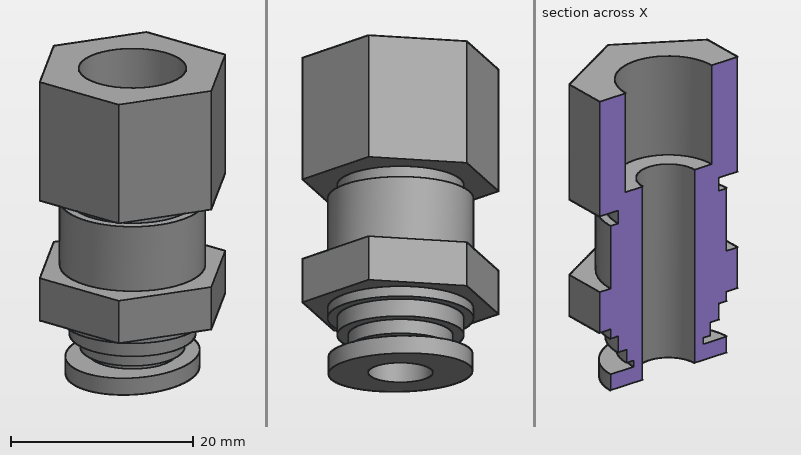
import cadquery as cq

across_flats = 19.0
hex_corner_ratio = 2 / 3**0.5
across_corners = across_flats * hex_corner_ratio

total_height = 35.5
ring_top = 2.0
neck_top = 2.7
collar_top = 4.3
lower_body_top = 6.25
nut_bottom = 7.4
nut_top = 12.4
thread_top = 20.0
head_bottom = 21.5

neck_diameter = 9.7
collar_diameter = 11.5
body_diameter = 13.9
thread_diameter = 16.0

ring_width_x = 13.9
ring_width_y = 16.0

tube_bore_diameter = 7.1
socket_diameter = 11.8
socket_depth = 12.0


def cylinder(diameter, bottom, top):
    return cq.Workplane("XY").workplane(offset=bottom).circle(diameter / 2).extrude(top - bottom)


def hexagon(bottom, top):
    return cq.Workplane("XY").workplane(offset=bottom).polygon(6, across_corners).extrude(top - bottom)


release_ring = cq.Workplane("XY").ellipse(ring_width_x / 2, ring_width_y / 2).extrude(ring_top)

body = (
    release_ring
    .union(cylinder(neck_diameter, ring_top, neck_top))
    .union(cylinder(collar_diameter, neck_top, collar_top))
    .union(cylinder(body_diameter, collar_top, lower_body_top))
    .union(cylinder(thread_diameter, lower_body_top, thread_top))
    .union(cylinder(body_diameter, thread_top, head_bottom))
)

body = body.union(hexagon(nut_bottom, nut_top)).union(hexagon(head_bottom, total_height))

tube_bore = cylinder(tube_bore_diameter, 0, total_height)
socket = cylinder(socket_diameter, total_height - socket_depth, total_height)

result = body.cut(tube_bore).cut(socket)